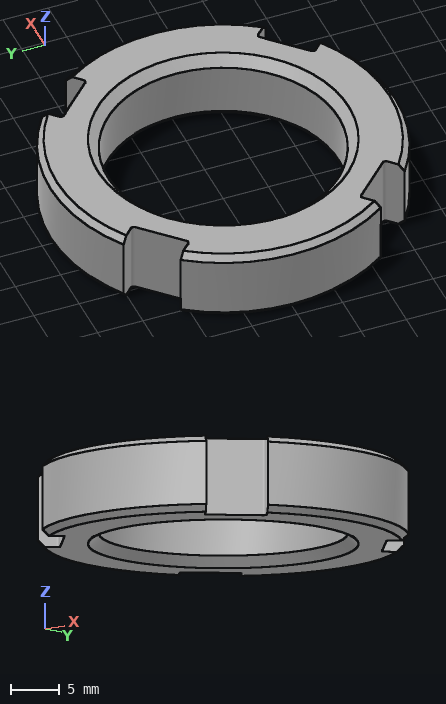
import cadquery as cq

outer_diameter = 38.1
height = 7.92
bore_diameter = 25.45
rim_chamfer = 0.7
bore_chamfer = 1.1

slot_count = 4
first_slot_angle = 45.0
slot_width = 6.32
slot_floor_radius = 16.5
slot_corner_radius = 0.35


def make_ring():
    """Flat ring with both rims and both bore mouths chamfered."""
    disc = cq.Workplane("XY").circle(outer_diameter / 2).extrude(height)
    disc = disc.faces("<Z or >Z").edges().chamfer(rim_chamfer)
    ring = disc.faces(">Z").workplane().circle(bore_diameter / 2).cutThruAll()
    bore_edges = cq.selectors.RadiusNthSelector(0)
    return ring.faces("<Z or >Z").edges(bore_edges).chamfer(bore_chamfer)


def make_slot_cutter(angle):
    """Block that cuts one radial slot, with its inner corners rounded."""
    slot_length = outer_diameter / 2
    cutter = cq.Workplane("XY").box(slot_length, slot_width, height, centered=(False, True, False))
    cutter = cutter.edges("|Z and <X").fillet(slot_corner_radius)
    cutter = cutter.translate((slot_floor_radius, 0, 0))
    return cutter.rotate((0, 0, 0), (0, 0, 1), angle)


result = make_ring()
for slot_index in range(slot_count):
    slot_angle = first_slot_angle + slot_index * 360.0 / slot_count
    result = result.cut(make_slot_cutter(slot_angle))